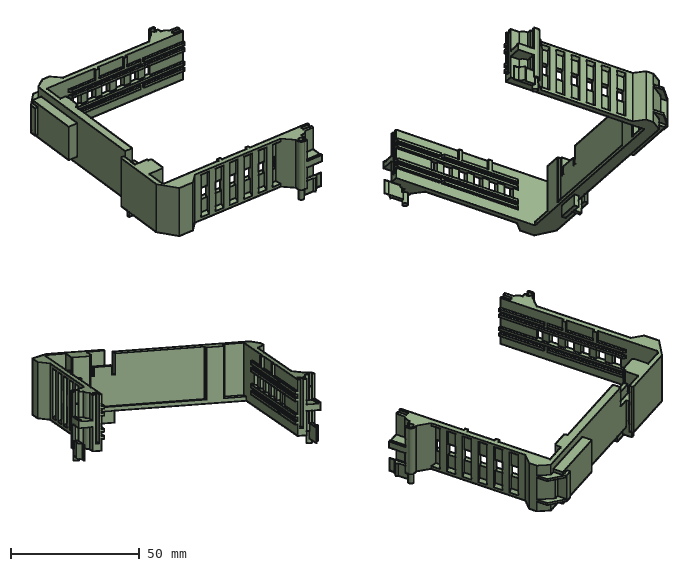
import cadquery as cq
import math


HEIGHT = 22.5
PEG_DROP = 5.1
HALF_WIDTH = 49.5
MID_Z = HEIGHT / 2

ARM_INNER_X = 40.1
ARM_THICKNESS = 2.35
ARM_OUTER_X = ARM_INNER_X + ARM_THICKNESS
ARM_FLARE_Y = -14.8
ARM_CORNER_Y = -56.6
CORNER_X = 46.25
CORNER_FLARE = CORNER_X - ARM_OUTER_X

PIN_X = 47.65
PIN_Y = -8.75
PIN_RADIUS = 1.15
PIN_TOP = HEIGHT - PEG_DROP
LOBE_RADIUS = HALF_WIDTH - PIN_X
SLIT_OUTER_X = 48.4
SLIT_INNER_X = 47.1

CUTOUT_INNER_X = 43.75
CUTOUT_ARC_Y = -3.9
CUTOUT_ARC_RADIUS = 3.4
CUTOUT_STEP_X = 45.25
CUTOUT_FRONT_Y = -7.0
EDGE_FRONT_Y = -7.3
RIB_BOTTOM = 9.7
RIB_TOP = 12.7
RIB_STEP = 0.4
REAR_SLOT_WIDTH = 1.35
REAR_SLOT_LENGTH = 3.85

TAB_BOTTOM = -3.2
TAB_TOP = 3.0
TAB_TIP_Y = 0.83
TAB_INNER_X = 47.35
TAB_TIP_X = 47.65
TAB_RAMP_START_Y = -1.3
TAB_BARB_Y = TAB_RAMP_START_Y - (HALF_WIDTH - TAB_TIP_X)
TAB_BACK_X = 48.85
TAB_BACK_Y = -3.9
TAB_END_Y = -8.0

WINDOW_COUNT = 6
WINDOW_PITCH = 6.95

WINDOW_LENGTH = 3.85
WINDOW_FRONT_Y = ARM_FLARE_Y - WINDOW_LENGTH
WINDOW_BOTTOM = 1.4
WINDOW_TOP = HEIGHT - 1.3
WINDOW_BEVEL = 1.1
WINDOW_DEPTH = 1.4

RAIL_DEPTH = 1.1
RAIL_HEIGHT = 1.2
RAIL_END_Y = -55.9
INNER_RAIL_OFFSET = 3.2
OUTER_RAIL_OFFSET = 6.0
OPENING_HALF_HEIGHT = INNER_RAIL_OFFSET - RAIL_HEIGHT / 2
RAIL_GAP_REAR_Y = -19.8
RAIL_GAP_FRONT_Y = -21.4
BRACES_Y = ((-28.1, -29.5), (-41.6, -43.3))

WALL_REAR_Y = -63.45
WALL_FRONT_Y = -68.3
LEFT_CHAMFER_Y = -63.8
LEFT_CHAMFER_X = -43.15
FRONT_FACE_Y = -72.5
RIGHT_CHAMFER_Y = -67.0
RIGHT_CHAMFER_X = 38.7
FLOOR_TOP = 1.7
POCKET_X = 31.35
LEFT_POCKET_Y = -66.3
RIGHT_POCKET_Y = -70.4
POCKET_CHAMFER = 0.8
MOUTH_CHAMFER = 0.4
RELIEF_HALF_WIDTH = 23.45
RELIEF_Y = -64.85

SLOT_LEFT_X = 13.05
SLOT_RIGHT_X = 22.75
SLOT_FLOOR = 13.1
SLOT_REAR_FLOOR = 14.1
PLATE_LEFT_X = 14.4
PLATE_RIGHT_X = 21.7
PLATE_TOP = 17.6
PLATE_FRONT_Y = -66.65
LIP_END_X = 15.45
LIP_REAR_Y = -70.75
LIP_CHAMFER = 0.55
WEB_LEFT_X = 17.5
BEAD_RISE = 0.65
BEAD_FILLET = 0.9
TONGUE_LEFT_X = 13.3
TONGUE_REAR_Y = -64.8
TONGUE_RIB_WIDTH = 1.4
TONGUE_RIB_DROP = 4.2

BLOCK_LEFT_X = -41.1
BLOCK_RIGHT_X = -17.8
BLOCK_BOTTOM = 3.45
BLOCK_TOP = 19.05
CATCH_BOTTOM = 4.8
CATCH_TOP = 17.6
CATCH_FLANGE = 1.05
CATCH_FRONT_Y = -73.87
CATCH_WALL_X = -40.4
CATCH_RIGHT_X = -37.6
CATCH_CORNER_Y = -68.4
CATCH_FLOOR_Y = -69.75


def prism(points, bottom, top):
    """Upright prism over an XY outline."""
    return cq.Workplane("XY").workplane(offset=bottom).polyline(points).close().extrude(top - bottom)


def box(x0, x1, y0, y1, z0, z1):
    return cq.Workplane("XY").box(x1 - x0, y1 - y0, z1 - z0, centered=False).translate((x0, y0, z0))


def pin_rod(bottom, top):
    base = cq.Workplane("XY").workplane(offset=bottom)
    return base.center(PIN_X, PIN_Y).circle(PIN_RADIUS).extrude(top - bottom)



def arm_body():
    lobe_front_y = PIN_Y - LOBE_RADIUS
    diagonal_x = ARM_OUTER_X + (lobe_front_y - ARM_FLARE_Y)
    arc_mid = (
        PIN_X + LOBE_RADIUS * math.cos(math.pi / 4),
        PIN_Y - LOBE_RADIUS * math.sin(math.pi / 4),
    )
    return (
        cq.Workplane("XY")
        .moveTo(ARM_INNER_X, 0)
        .lineTo(HALF_WIDTH, 0)
        .lineTo(HALF_WIDTH, PIN_Y)
        .threePointArc(arc_mid, (PIN_X, lobe_front_y))
        .lineTo(diagonal_x, lobe_front_y)
        .lineTo(ARM_OUTER_X, ARM_FLARE_Y)
        .lineTo(ARM_OUTER_X, ARM_CORNER_Y)
        .lineTo(CORNER_X, ARM_CORNER_Y - CORNER_FLARE)
        .lineTo(CORNER_X, LEFT_CHAMFER_Y)
        .lineTo(ARM_INNER_X, LEFT_CHAMFER_Y)
        .close()
        .extrude(HEIGHT)
    )


def rear_cutout():
    inner = (
        cq.Workplane("XY")
        .moveTo(CUTOUT_INNER_X, 0)
        .lineTo(CUTOUT_INNER_X, CUTOUT_ARC_Y)
        .radiusArc((CUTOUT_STEP_X, CUTOUT_FRONT_Y), CUTOUT_ARC_RADIUS)
        .lineTo(HALF_WIDTH, CUTOUT_FRONT_Y)
        .lineTo(HALF_WIDTH, 0)
        .close()
        .extrude(HEIGHT)
    )
    outer_edge = box(SLIT_OUTER_X, HALF_WIDTH, EDGE_FRONT_Y, 0, 0, HEIGHT)
    return inner.union(outer_edge)


def rear_rib():
    plate = box(CUTOUT_INNER_X, SLIT_OUTER_X, CUTOUT_FRONT_Y, 0, RIB_BOTTOM, RIB_TOP - RIB_STEP)
    edge = box(SLIT_OUTER_X, HALF_WIDTH, EDGE_FRONT_Y, 0, RIB_BOTTOM, RIB_TOP)
    return plate.union(edge).intersect(rear_cutout())


def snap_tab():
    points = [
        (TAB_INNER_X, TAB_TIP_Y),
        (TAB_TIP_X, TAB_TIP_Y),
        (TAB_TIP_X, TAB_RAMP_START_Y),
        (HALF_WIDTH, TAB_BARB_Y),
        (TAB_BACK_X, TAB_BACK_Y),
        (TAB_BACK_X, TAB_END_Y),
        (TAB_INNER_X, TAB_END_Y),
    ]
    return prism(points, TAB_BOTTOM, TAB_TOP)


def arm_windows():
    """Recesses in the outer face with bevelled top and bottom, each with a through opening."""
    floor_x = ARM_OUTER_X - WINDOW_DEPTH
    section = [
        (ARM_OUTER_X, WINDOW_BOTTOM),
        (ARM_OUTER_X, WINDOW_TOP),
        (floor_x, WINDOW_TOP - WINDOW_BEVEL),
        (floor_x, WINDOW_BOTTOM + WINDOW_BEVEL),
    ]
    channel = cq.Workplane("XZ").polyline(section).close().extrude(-ARM_CORNER_Y)
    opening_bottom = MID_Z - OPENING_HALF_HEIGHT
    opening_top = MID_Z + OPENING_HALF_HEIGHT
    windows = cq.Workplane("XY")
    for index in range(WINDOW_COUNT):
        front_y = WINDOW_FRONT_Y - index * WINDOW_PITCH
        rear_y = front_y + WINDOW_LENGTH
        floor_rear_y = min(rear_y, ARM_FLARE_Y - WINDOW_DEPTH)
        outline = [
            (ARM_OUTER_X, front_y),
            (ARM_OUTER_X, rear_y),
            (floor_x, floor_rear_y),
            (floor_x, front_y),
        ]
        recess = prism(outline, 0, HEIGHT).intersect(channel)
        opening = box(ARM_INNER_X, floor_x, front_y, floor_rear_y, opening_bottom, opening_top)
        windows = windows.union(recess).union(opening)
    return windows


def guide_rails():
    tip_x = ARM_INNER_X - RAIL_DEPTH
    outline = [
        (ARM_INNER_X, 0),
        (tip_x, 0),
        (tip_x, RAIL_END_Y + RAIL_DEPTH),
        (ARM_INNER_X, RAIL_END_Y),
    ]
    gap = [
        (ARM_INNER_X, RAIL_GAP_REAR_Y),
        (tip_x, RAIL_GAP_REAR_Y),
        (tip_x, RAIL_GAP_FRONT_Y),
        (ARM_INNER_X, RAIL_GAP_FRONT_Y + RAIL_DEPTH / 2),
    ]
    rails = cq.Workplane("XY")
    for side in (-1, 1):
        for offset in (INNER_RAIL_OFFSET, OUTER_RAIL_OFFSET):
            bottom = MID_Z + side * offset - RAIL_HEIGHT / 2
            rail = prism(outline, bottom, bottom + RAIL_HEIGHT)
            if offset == OUTER_RAIL_OFFSET:
                rail = rail.cut(prism(gap, bottom, bottom + RAIL_HEIGHT))
            rails = rails.union(rail)
    for rear_y, front_y in BRACES_Y:
        rails = rails.union(box(tip_x, ARM_INNER_X, front_y, rear_y, MID_Z + OUTER_RAIL_OFFSET, HEIGHT))
    return rails


def arm():
    slit = box(SLIT_INNER_X, SLIT_OUTER_X, PIN_Y, CUTOUT_FRONT_Y, TAB_TOP, HEIGHT)
    rear_slot = box(
        ARM_OUTER_X - REAR_SLOT_WIDTH, ARM_OUTER_X, -REAR_SLOT_LENGTH, 0, TAB_TOP, HEIGHT
    )
    return (
        arm_body()
        .cut(rear_cutout())
        .cut(slit)
        .cut(rear_slot)
        .cut(arm_windows())
        .union(rear_rib())
        .union(snap_tab())
        .union(guide_rails())
        .cut(pin_rod(-PEG_DROP, HEIGHT))
    )


def front_wall():
    left = prism(
        [
            (-CORNER_X, LEFT_CHAMFER_Y),
            (LEFT_CHAMFER_X, WALL_FRONT_Y),
            (SLOT_RIGHT_X, WALL_FRONT_Y),
            (SLOT_RIGHT_X, WALL_REAR_Y),
            (-ARM_INNER_X, WALL_REAR_Y),
            (-ARM_INNER_X, LEFT_CHAMFER_Y),
        ],
        0,
        HEIGHT,
    )
    right = prism(
        [
            (SLOT_RIGHT_X, WALL_REAR_Y),
            (SLOT_RIGHT_X, FRONT_FACE_Y),
            (RIGHT_CHAMFER_X, FRONT_FACE_Y),
            (CORNER_X, RIGHT_CHAMFER_Y),
            (CORNER_X, LEFT_CHAMFER_Y),
            (ARM_INNER_X, LEFT_CHAMFER_Y),
            (ARM_INNER_X, WALL_REAR_Y),
        ],
        0,
        HEIGHT,
    )
    return left.union(right)


def wall_hollows():
    mouth_y = WALL_REAR_Y - MOUTH_CHAMFER
    left_pocket = [
        (-ARM_INNER_X, WALL_REAR_Y),
        (-ARM_INNER_X, LEFT_POCKET_Y),
        (-POCKET_X, LEFT_POCKET_Y),
        (-POCKET_X, mouth_y),
        (-POCKET_X + MOUTH_CHAMFER, WALL_REAR_Y),
    ]
    right_pocket = [
        (POCKET_X - MOUTH_CHAMFER, WALL_REAR_Y),
        (POCKET_X, mouth_y),
        (POCKET_X, RIGHT_POCKET_Y),
        (ARM_INNER_X - POCKET_CHAMFER, RIGHT_POCKET_Y),
        (ARM_INNER_X, RIGHT_POCKET_Y + POCKET_CHAMFER),
        (ARM_INNER_X, WALL_REAR_Y),
    ]
    relief = [
        (-RELIEF_HALF_WIDTH - MOUTH_CHAMFER, WALL_REAR_Y),
        (-RELIEF_HALF_WIDTH, mouth_y),
        (-RELIEF_HALF_WIDTH, RELIEF_Y),
        (RELIEF_HALF_WIDTH, RELIEF_Y),
        (RELIEF_HALF_WIDTH, mouth_y),
        (RELIEF_HALF_WIDTH + MOUTH_CHAMFER, WALL_REAR_Y),
    ]
    hollows = cq.Workplane("XY")
    for outline in (left_pocket, right_pocket, relief):
        hollows = hollows.union(prism(outline, FLOOR_TOP, HEIGHT))
    return hollows


def stacking_slot():
    front = box(SLOT_LEFT_X, SLOT_RIGHT_X, LIP_REAR_Y, PLATE_FRONT_Y, SLOT_FLOOR, HEIGHT)
    rear = box(SLOT_LEFT_X, SLOT_RIGHT_X, PLATE_FRONT_Y, WALL_REAR_Y, SLOT_REAR_FLOOR, HEIGHT)
    plate = box(PLATE_LEFT_X, PLATE_RIGHT_X, PLATE_FRONT_Y, RELIEF_Y, SLOT_REAR_FLOOR, PLATE_TOP)
    return front.union(rear).cut(plate)


def hooked_lip():
    """Lip in front of the wall, its rear bead, and the web that ties it to the wall."""
    lip = prism(
        [
            (SLOT_RIGHT_X, LIP_REAR_Y),
            (LIP_END_X, LIP_REAR_Y),
            (LIP_END_X, FRONT_FACE_Y + LIP_CHAMFER),
            (LIP_END_X + LIP_CHAMFER, FRONT_FACE_Y),
            (SLOT_RIGHT_X, FRONT_FACE_Y),
        ],
        0,
        HEIGHT,
    )
    web = box(WEB_LEFT_X, SLOT_RIGHT_X, LIP_REAR_Y, WALL_FRONT_Y, 0, SLOT_FLOOR)
    bead_rear_y = LIP_REAR_Y + BEAD_RISE
    fillet_mid = (
        WEB_LEFT_X - BEAD_FILLET * (1 - math.cos(math.pi / 4)),
        bead_rear_y + BEAD_FILLET * (1 - math.sin(math.pi / 4)),
    )
    bead = (
        cq.Workplane("XY")
        .workplane(offset=BLOCK_BOTTOM)
        .moveTo(WEB_LEFT_X, LIP_REAR_Y)
        .lineTo(WEB_LEFT_X, bead_rear_y + BEAD_FILLET)
        .threePointArc(fillet_mid, (WEB_LEFT_X - BEAD_FILLET, bead_rear_y))
        .lineTo(LIP_END_X + BEAD_RISE, bead_rear_y)
        .lineTo(LIP_END_X, LIP_REAR_Y)
        .close()
        .extrude(SLOT_FLOOR - BLOCK_BOTTOM)
    )
    return lip.union(web).union(bead)


def tongue():
    """T-shaped tongue under the slot."""
    bar = box(TONGUE_LEFT_X, SLOT_RIGHT_X, PLATE_FRONT_Y, TONGUE_REAR_Y, -PEG_DROP, 0)
    rib = box(
        WEB_LEFT_X, WEB_LEFT_X + TONGUE_RIB_WIDTH, LIP_REAR_Y, PLATE_FRONT_Y, -TONGUE_RIB_DROP, 0
    )
    return bar.union(rib)


def front_catch():
    """Raised block, and the flanged catch that reaches round the chamfered left corner."""
    block = box(BLOCK_LEFT_X, BLOCK_RIGHT_X, FRONT_FACE_Y, WALL_FRONT_Y, BLOCK_BOTTOM, BLOCK_TOP)
    catch = prism(
        [
            (-CORNER_X, LEFT_CHAMFER_Y),
            (-CORNER_X, CATCH_CORNER_Y),
            (CATCH_WALL_X, CATCH_FRONT_Y),
            (CATCH_RIGHT_X, CATCH_FRONT_Y),
            (CATCH_RIGHT_X, WALL_FRONT_Y),
            (LEFT_CHAMFER_X, WALL_FRONT_Y),
        ],
        CATCH_BOTTOM,
        CATCH_TOP,
    )
    chamfer_slope = (LEFT_CHAMFER_X + CORNER_X) / (LEFT_CHAMFER_Y - WALL_FRONT_Y)
    recess_x = -CORNER_X + chamfer_slope * (LEFT_CHAMFER_Y - CATCH_FLOOR_Y)
    recess = prism(
        [
            (-CORNER_X, LEFT_CHAMFER_Y),
            (recess_x, CATCH_FLOOR_Y),
            (CATCH_WALL_X, CATCH_FLOOR_Y),
            (CATCH_WALL_X, CATCH_FRONT_Y),
            (-CORNER_X, CATCH_FRONT_Y),
        ],
        CATCH_BOTTOM + CATCH_FLANGE,
        CATCH_TOP - CATCH_FLANGE,
    )
    return block.union(catch).cut(recess)


def frame():
    right_arm = arm()
    return (
        front_wall()
        .cut(wall_hollows())
        .union(hooked_lip())
        .cut(stacking_slot())
        .union(tongue())
        .union(front_catch())
        .union(right_arm)
        .union(right_arm.mirror("YZ"))
    )


def pins():
    pin = pin_rod(-PEG_DROP, PIN_TOP)
    return [pin, pin.mirror("YZ")]


result = cq.Compound.makeCompound([frame().val(), *[pin.val() for pin in pins()]])